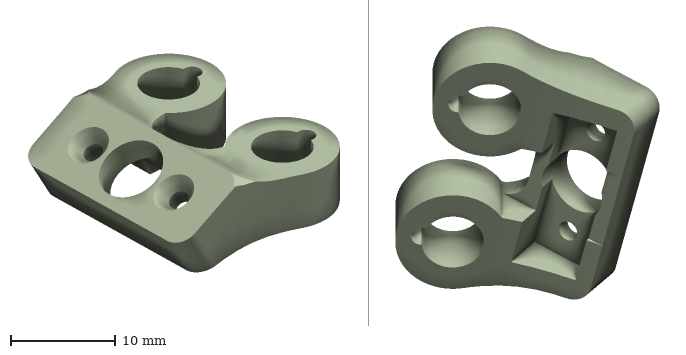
import cadquery as cq
import math

lug_radius = 5.5
lug_offset = 13.5 - lug_radius
lug_height = 6.0
lug_bore = 6.0
notch_diameter = 2.0
notch_center_y = 3.08

tilt = 30
plate_half_width = 11.34
plate_length = 9.15
plate_thickness = 4.97
corner_radius = 2.0
peak_y = -8.4
peak_z = 7.35

center_hole = 6.6
screw_offset = 6.0
screw_hole = 2.0
countersink_diameter = 4.2
countersink_depth = 1.27
pocket_depth = 2.0
pocket_length = 18.0
pocket_width = 6.0

arm_start_y = -3.97
arm_inner_x = lug_offset - math.sqrt(lug_radius**2 - arm_start_y**2)
saddle_half_flat = 1.21
saddle_arc_share = 0.67
flare_end_y = -10.72
corner_drop = 1.03
corner_run = (1.6, 4.43, -0.8)

margin = 10.8

cos_tilt = math.cos(math.radians(tilt))
sin_tilt = math.sin(math.radians(tilt))
front_y = peak_y - plate_length * cos_tilt
front_z = peak_z - plate_length * sin_tilt
low_front_y = front_y + plate_thickness * sin_tilt
low_front_z = front_z - plate_thickness * cos_tilt
low_back_y = peak_y + plate_thickness * sin_tilt
low_back_z = peak_z - plate_thickness * cos_tilt

plate_plane = cq.Plane(
    origin=(0, (peak_y + front_y) / 2, (peak_z + front_z) / 2),
    xDir=(1, 0, 0),
    normal=(0, -sin_tilt, cos_tilt),
)


def tangent_arc_middle(y_end, z_start, z_end):
    """Middle of an arc that leaves the arm start horizontally and ends at the given point."""
    run = arm_start_y - y_end
    rise = z_end - z_start
    radius = (run**2 + rise**2) / (2 * rise)
    half_angle = math.asin(run / abs(radius)) / 2
    return (
        arm_start_y - abs(radius) * math.sin(half_angle),
        z_start + radius * (1 - math.cos(half_angle)),
    )


def side_profile():
    """Bent profile of arms and plate, extruded wider than the part."""
    return (
        cq.Workplane("YZ")
        .moveTo(0, 0)
        .lineTo(0, lug_height)
        .lineTo(arm_start_y, lug_height)
        .threePointArc(tangent_arc_middle(peak_y, lug_height, peak_z), (peak_y, peak_z))
        .lineTo(front_y, front_z)
        .lineTo(low_front_y, low_front_z)
        .threePointArc(tangent_arc_middle(low_front_y, 0, low_front_z), (arm_start_y, 0))
        .close()
        .extrude(2 * plate_half_width, both=True)
    )


def plan_outline():
    """Vertical prism whose flared sides run tangentially from the plate into the lugs."""
    side_step = plate_half_width - lug_offset
    flare_radius = (side_step**2 + flare_end_y**2 - lug_radius**2) / (2 * (lug_radius - side_step))
    flare_center_x = plate_half_width + flare_radius
    lug_share = lug_radius / (lug_radius + flare_radius)
    touch_x = lug_offset + lug_share * (flare_center_x - lug_offset)
    touch_y = lug_share * flare_end_y
    half_angle = math.asin((touch_y - flare_end_y) / flare_radius) / 2
    middle_x = flare_center_x - flare_radius * math.cos(half_angle)
    middle_y = flare_end_y + flare_radius * math.sin(half_angle)
    half = (
        cq.Workplane("XY", origin=(0, 0, -margin))
        .moveTo(0, front_y)
        .lineTo(plate_half_width, front_y)
        .lineTo(plate_half_width, flare_end_y)
        .threePointArc((middle_x, middle_y), (touch_x, touch_y))
        .lineTo(lug_offset, touch_y)
        .lineTo(lug_offset, arm_start_y)
        .lineTo(0, arm_start_y)
        .close()
        .extrude(3 * margin)
    )
    return half.union(half.mirror("YZ"))


def saddle_section(z, back_y):
    """Closed U outline between the arms at height z, reaching forward to back_y."""
    run = arm_inner_x - saddle_half_flat
    depth = arm_start_y - back_y
    middle = (saddle_half_flat + run * saddle_arc_share, back_y + depth * (1 - saddle_arc_share))
    return (
        cq.Workplane("XY", origin=(0, 0, z))
        .moveTo(-arm_inner_x, arm_start_y)
        .threePointArc((-middle[0], middle[1]), (-saddle_half_flat, back_y))
        .lineTo(saddle_half_flat, back_y)
        .threePointArc(middle, (arm_inner_x, arm_start_y))
        .close()
        .wires()
        .val()
    )


def saddle_cut():
    """Hollow between the arms, upright below and leaning along the plate's back edge above."""
    low = saddle_section(low_back_z, low_back_y)
    high = saddle_section(peak_z, peak_y)
    upper = cq.Workplane(cq.Solid.makeLoft([low, high], True))
    lower = cq.Workplane(cq.Solid.extrudeLinear(low, [], cq.Vector(0, 0, -margin)))
    return upper.union(lower)


def front_corner_cut():
    """Material outside the rounded front corner on the +X side, along the plate thickness."""
    edge = -plate_length / 2
    block = (
        cq.Workplane(plate_plane)
        .center(plate_half_width, edge)
        .rect(2 * corner_radius, 2 * corner_radius)
        .extrude(margin, both=True)
    )
    round_corner = (
        cq.Workplane(plate_plane)
        .center(plate_half_width - corner_radius, edge + corner_radius)
        .circle(corner_radius)
        .extrude(margin, both=True)
    )
    return block.cut(round_corner)


def back_corner_cut():
    """Rounds the upper rear corner on the +X side and fades out along the arm."""
    edge = plate_length / 2
    center_x = plate_half_width - corner_radius
    end_angle = math.acos(1 - corner_drop / corner_radius)
    end_x = center_x + corner_radius * math.sin(end_angle)
    middle_x = center_x + corner_radius * math.sin(end_angle / 2)
    middle_y = edge - corner_radius * (1 - math.cos(end_angle / 2))
    section = (
        cq.Workplane(plate_plane)
        .moveTo(center_x, edge)
        .threePointArc((middle_x, middle_y), (end_x, edge - corner_drop))
        .lineTo(end_x + margin, edge - corner_drop)
        .lineTo(end_x + margin, edge + margin)
        .lineTo(center_x, edge + margin)
        .close()
        .wires()
        .val()
    )
    return cq.Workplane(cq.Solid.extrudeLinear(section, [], cq.Vector(*corner_run)))


def center_underside_cut():
    """Clears the space between the arms below the plate's flat underside."""
    return (
        cq.Workplane(plate_plane)
        .workplane(offset=-plate_thickness)
        .rect(2 * arm_inner_x, 2 * plate_length)
        .extrude(-margin)
    )


def lug(side):
    return cq.Workplane("XY").center(side * lug_offset, 0).circle(lug_radius).extrude(lug_height)


def lug_bore_cut(side):
    bore = cq.Workplane("XY").center(side * lug_offset, 0).circle(lug_bore / 2).extrude(lug_height)
    notch = (
        cq.Workplane("XY")
        .center(side * lug_offset, notch_center_y)
        .circle(notch_diameter / 2)
        .extrude(lug_height)
    )
    return bore.union(notch)


def plate_cuts():
    """Centre hole, countersunk screw holes and the pocket open to the underside."""
    pocket = (
        cq.Workplane(plate_plane)
        .workplane(offset=pocket_depth - plate_thickness)
        .rect(pocket_length, pocket_width)
        .extrude(-margin)
    )
    hole = cq.Workplane(plate_plane).circle(center_hole / 2).extrude(-plate_thickness)
    screws = cq.Workplane(plate_plane).pushPoints([(-screw_offset, 0), (screw_offset, 0)])
    shanks = screws.circle(screw_hole / 2).extrude(-plate_thickness)
    cuts = pocket.union(hole).union(shanks)
    for side in (-1, 1):
        countersink = (
            cq.Workplane(plate_plane)
            .center(side * screw_offset, 0)
            .circle(countersink_diameter / 2)
            .workplane(offset=-countersink_depth)
            .circle(screw_hole / 2)
            .loft()
        )
        cuts = cuts.union(countersink)
    return cuts


body = side_profile().intersect(plan_outline()).cut(saddle_cut())
body = body.cut(center_underside_cut())
for corner in (front_corner_cut(), back_corner_cut()):
    body = body.cut(corner).cut(corner.mirror("YZ"))
for side in (-1, 1):
    body = body.union(lug(side))
for side in (-1, 1):
    body = body.cut(lug_bore_cut(side))
result = body.cut(plate_cuts())